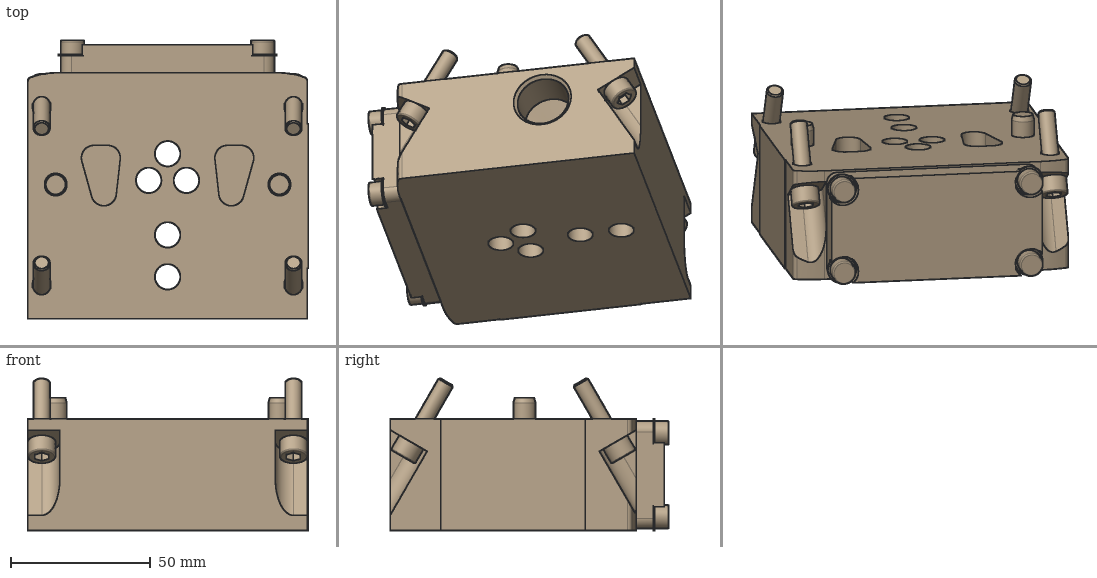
import cadquery as cq
import math

BLOCK_X = 100.0
BLOCK_Y = 88.0
BLOCK_Z = 40.0
HALF_X = BLOCK_X / 2
BACK_BULGE_RADIUS = 30.0
CORNER_RADIUS = 1.7
CORNER_TANGENT_DEPTH = 3.2
SIDE_PAD_THICKNESS = 0.3
SIDE_PAD_START = 18.0
SIDE_PAD_LENGTH = 51.8

HOLE_DIAMETER = 9.0
HOLE_POINTS = [(0, 15.0), (0, 30.0), (0, 59.0), (-6.75, 49.5), (6.75, 49.5)]
POCKET_RADIUS = 4.5
POCKET_CORNERS = [(21.4, 57.5), (26.3, 57.5), (22.8, 44.9)]
POCKET_DEPTH = 9.0

PORT_DIAMETER = 18.63
PORT_MOUTH_DIAMETER = 21.0
PORT_Y = 33.5
PORT_Z = 26.8
PORT_DEPTH = 15.0
DRILL_POINT_ANGLE = 118.0

DOWEL_DIAMETER = 8.0
DOWEL_TIP_DIAMETER = 7.0
DOWEL_TIP_LENGTH = 1.8
DOWEL_HEIGHT = 7.6
DOWEL_X = 40.0
DOWEL_Y = 48.0

SCREW_TILT = 30.0
SCREW_X = 45.0
SCREW_EXIT_Y = 12.4
SCREW_DIAMETER = 6.0
SCREW_TIP_DIAMETER = 4.92
SCREW_LENGTH = 25.0
SCREW_SEAT_DEPTH = 9.66
SCREW_HOLE_DIAMETER = 6.6
HEAD_DIAMETER = 10.0
HEAD_LENGTH = 6.0
HEAD_ROUND = 0.5
SOCKET_ACROSS_FLATS = 5.0
SOCKET_DEPTH = 3.0
RECESS_RADIUS = 6.5
RECESS_REACH = 40.0

PLATE_THICKNESS = 10.0
PLATE_SCREW_X = 34.0
PLATE_SCREW_SPACING_Z = 30.0
PLATE_MARGIN = 4.25
PLATE_CORNER_RADIUS = 3.8
PLATE_SEAT_THICKNESS = 6.0
PLATE_NOTCH_DIAMETER = 11.0
WASHER_DIAMETER = 10.0
WASHER_THICKNESS = 0.6
PLATE_HEAD_DIAMETER = 8.5
PLATE_HEAD_LENGTH = 5.0
PLATE_HEAD_ROUND = 0.5


def block_body():
    """Block whose back face curves away towards both rear corners."""
    centre_y = BLOCK_Y - BACK_BULGE_RADIUS
    corner_y = BLOCK_Y - CORNER_TANGENT_DEPTH
    corner_x = HALF_X - CORNER_RADIUS
    reach = BACK_BULGE_RADIUS - CORNER_RADIUS
    sweep = math.acos((corner_y - centre_y) / reach)
    centre_x = corner_x - reach * math.sin(sweep)

    def on_large_arc(angle):
        return (
            centre_x + BACK_BULGE_RADIUS * math.sin(angle),
            centre_y + BACK_BULGE_RADIUS * math.cos(angle),
        )

    corner_mid = (sweep + math.pi / 2) / 2
    corner_mid_point = (
        corner_x + CORNER_RADIUS * math.sin(corner_mid),
        corner_y + CORNER_RADIUS * math.cos(corner_mid),
    )
    half = (
        cq.Workplane("XY")
        .moveTo(0, 0)
        .lineTo(HALF_X, 0)
        .lineTo(HALF_X, corner_y)
        .threePointArc(corner_mid_point, on_large_arc(sweep))
        .threePointArc(on_large_arc(sweep / 2), (centre_x, BLOCK_Y))
        .lineTo(0, BLOCK_Y)
        .close()
        .extrude(BLOCK_Z)
    )
    return half.union(half.mirror("YZ"))


def side_pad():
    """Thin raised pad on the +X side."""
    pad = cq.Workplane("XY").box(SIDE_PAD_THICKNESS, SIDE_PAD_LENGTH, BLOCK_Z, centered=False)
    return pad.translate((HALF_X, SIDE_PAD_START, 0))


def through_holes():
    """Vertical holes through the whole block."""
    return cq.Workplane("XY").pushPoints(HOLE_POINTS).circle(HOLE_DIAMETER / 2).extrude(BLOCK_Z)


def triangular_pocket():
    """Rounded triangular pocket on the +X half of the top face."""
    return (
        cq.Workplane("XY", origin=(0, 0, BLOCK_Z))
        .polyline(POCKET_CORNERS)
        .close()
        .offset2D(POCKET_RADIUS)
        .extrude(-POCKET_DEPTH)
    )


def port():
    """Chamfered drilled port entering from the -X side, with a conical bottom."""
    radius = PORT_DIAMETER / 2
    mouth = PORT_MOUTH_DIAMETER / 2
    point = radius / math.tan(math.radians(DRILL_POINT_ANGLE / 2))
    return (
        cq.Workplane("XY")
        .polyline([
            (0, 0),
            (0, mouth),
            (mouth - radius, radius),
            (PORT_DEPTH, radius),
            (PORT_DEPTH + point, 0),
        ])
        .close()
        .revolve(360, (0, 0), (1, 0))
        .translate((-HALF_X, PORT_Y, PORT_Z))
    )


def dowel(x):
    """Dowel stub standing on the top face, with a tapered tip."""
    foot = cq.Workplane("XY", origin=(x, DOWEL_Y, BLOCK_Z)).circle(DOWEL_DIAMETER / 2).extrude(DOWEL_HEIGHT)
    return foot.faces(">Z").chamfer(DOWEL_TIP_LENGTH, (DOWEL_DIAMETER - DOWEL_TIP_DIAMETER) / 2)



def put_at_corner(shape, side, end):
    """Tilt and place a shape; side is +1 or -1 for X, end is +1 for the front and -1 for the back."""
    tilt = math.radians(SCREW_TILT)
    seat_y = SCREW_EXIT_Y - SCREW_SEAT_DEPTH * math.sin(tilt)
    seat_z = BLOCK_Z - SCREW_SEAT_DEPTH * math.cos(tilt)
    placed = shape.rotate((0, 0, 0), (1, 0, 0), -SCREW_TILT).translate((SCREW_X, seat_y, seat_z))
    if side < 0:
        placed = placed.mirror("YZ")
    if end < 0:
        placed = placed.mirror("XZ").translate((0, BLOCK_Y, 0))
    return placed


def upright_screw():
    """Socket head cap screw with a chamfered tip."""
    shank = (
        cq.Workplane("XY")
        .circle(SCREW_DIAMETER / 2)
        .extrude(SCREW_LENGTH)
        .faces(">Z")
        .chamfer((SCREW_DIAMETER - SCREW_TIP_DIAMETER) / 2)
    )
    head = (
        cq.Workplane("XY")
        .circle(HEAD_DIAMETER / 2)
        .extrude(-HEAD_LENGTH)
        .faces("<Z")
        .edges()
        .fillet(HEAD_ROUND)
    )
    socket = (
        cq.Workplane("XY", origin=(0, 0, -HEAD_LENGTH))
        .transformed(rotate=(0, 0, 90))
        .polygon(6, SOCKET_ACROSS_FLATS / math.cos(math.pi / 6))
        .extrude(SOCKET_DEPTH)
    )
    return shank.union(head).cut(socket)


def upright_recess():
    """Clearance hole above the seat, and below it an open recess with one rounded inner corner."""
    hole = cq.Workplane("XY").circle(SCREW_HOLE_DIAMETER / 2).extrude(RECESS_REACH)
    opening = (
        cq.Workplane("XY")
        .moveTo(0, RECESS_RADIUS)
        .lineTo(RECESS_REACH, RECESS_RADIUS)
        .lineTo(RECESS_REACH, -RECESS_REACH)
        .lineTo(-RECESS_RADIUS, -RECESS_REACH)
        .lineTo(-RECESS_RADIUS, 0)
        .radiusArc((0, RECESS_RADIUS), RECESS_RADIUS)
        .close()
        .extrude(-RECESS_REACH)
    )
    return hole.union(opening)



def along_back(shape):
    """Turn a shape drawn in XY about the plate middle so that +Z of the shape points out of the back."""
    return shape.rotate((0, 0, 0), (1, 0, 0), -90).translate((0, BLOCK_Y, BLOCK_Z / 2))


def cover_plate():
    """Plate with rounded corners, notched at each corner for a washer and a screw head."""
    corners = [
        (x, z)
        for x in (-PLATE_SCREW_X, PLATE_SCREW_X)
        for z in (-PLATE_SCREW_SPACING_Z / 2, PLATE_SCREW_SPACING_Z / 2)
    ]
    plate = (
        cq.Workplane("XY")
        .rect(2 * (PLATE_SCREW_X + PLATE_MARGIN), PLATE_SCREW_SPACING_Z + 2 * PLATE_MARGIN)
        .extrude(PLATE_THICKNESS)
        .edges("|Z")
        .fillet(PLATE_CORNER_RADIUS)
    )
    seats = cq.Workplane("XY", origin=(0, 0, PLATE_SEAT_THICKNESS)).pushPoints(corners)
    plate = plate.cut(seats.circle(PLATE_NOTCH_DIAMETER / 2).extrude(PLATE_THICKNESS))
    washers = seats.circle(WASHER_DIAMETER / 2).extrude(WASHER_THICKNESS)
    heads = (
        seats.circle(PLATE_HEAD_DIAMETER / 2)
        .extrude(WASHER_THICKNESS + PLATE_HEAD_LENGTH)
        .faces(">Z")
        .edges()
        .fillet(PLATE_HEAD_ROUND)
    )
    return along_back(plate.union(washers).union(heads))


CORNERS = [(side, end) for side in (-1, 1) for end in (-1, 1)]

housing = block_body().union(side_pad())
for corner_side, corner_end in CORNERS:
    housing = housing.cut(put_at_corner(upright_recess(), corner_side, corner_end))
housing = housing.cut(through_holes())
housing = housing.cut(triangular_pocket()).cut(triangular_pocket().mirror("YZ"))
housing = housing.cut(port())
housing = housing.union(cover_plate())
for dowel_x in (-DOWEL_X, DOWEL_X):
    housing = housing.union(dowel(dowel_x))

screws = [put_at_corner(upright_screw(), side, end) for side, end in CORNERS]

result = cq.Compound.makeCompound([housing.val(), *[screw.val() for screw in screws]])